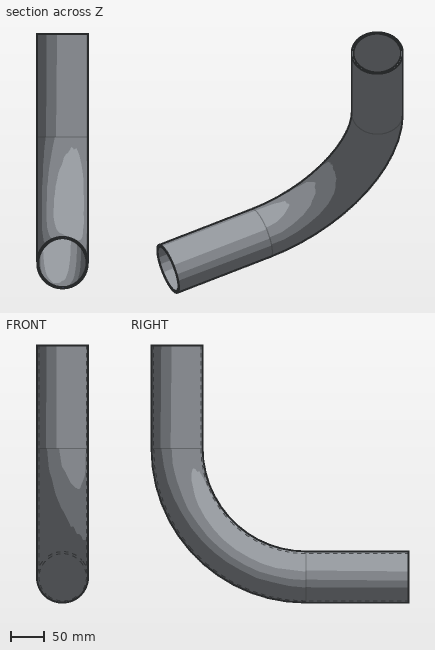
import cadquery as cq

outer_diameter = 76.2
bore_diameter = 70.0
overall_length = 381.0
leg_length = 152.5
bend_angle = 90

bend_radius = overall_length - leg_length - outer_diameter / 2


def tube_section(plane, origin):
    """Ring-shaped cross-section of the tube, centred on the origin."""
    return (
        cq.Workplane(plane, origin=origin)
        .circle(outer_diameter / 2)
        .circle(bore_diameter / 2)
    )


bend_top = (0, 0, bend_radius)
bend_bottom = (0, bend_radius, 0)

upright_leg = tube_section("XY", bend_top).extrude(leg_length)

bend = tube_section("XY", bend_top).revolve(
    bend_angle, (0, bend_radius, 0), (1, bend_radius, 0)
)

level_leg = tube_section("XZ", bend_bottom).extrude(-leg_length)

result = upright_leg.union(bend).union(level_leg)